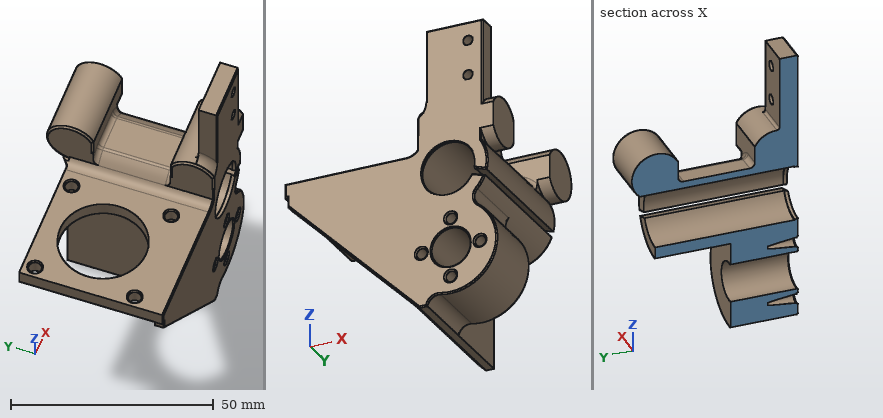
import cadquery as cq
import math


plate_depth = 37.95
plate_top = 42.47
plate_thickness = 3.9
plate_bottom = plate_top - plate_thickness
motor_x = 16.0
motor_y = 21.7
motor_opening_d = 22.6
motor_bolt_spacing = 26.2
motor_bolt_d = 3.3
motor_bolt_chamfer = 0.35

wall_left = 34.75
wall_right = 39.0
panel_left = 0.8
panel_thickness = 2.5
diagonal_sum = 36.8
inner_fillet_r = 0.5

clamp_x = 44.75
clamp_z = 37.0
clamp_r = 10.9
clamp_top = 46.65
clamp_edge_r = 1.5
bearing_seat_r = 7.6
bearing_lip_r = 7.4
bearing_lip_depth = 1.0
slot_width = 1.5
slot_angle = -18.0
outline_fillet_r = 3.0

hub_x = 45.52
hub_z = 14.9
hub_r = 12.75
hub_depth = 17.95
nut_bore_d = 10.6
nut_bore_chamfer = 0.3
nut_bolt_circle_r = 8.05
nut_bolt_r = 1.45
nut_bolt_tip_r = 0.8
nut_bolt_depth = 8.0
nut_bolt_chamfer = 0.4

holder_left = 36.3
holder_right = 57.26
holder_r = 6.58
holder_z = 49.4
holder_top = holder_z + holder_r
front_holder_y = 5.7
overall_depth = 44.15
rear_holder_y = overall_depth - holder_r
holder_flat_offset = 5.8
holder_chamfer = 0.5
valley_fillet_r = 1.35
rear_fillet_r = 2.5
web_right = 53.8
web_bottom = 42.0
web_top = 48.2

tab_left = 38.8
tab_right = 54.25
tab_depth = 4.95
tab_top = 76.24
tab_hole_d = 2.6
tab_hole_x = 50.27
tab_hole_heights = (61.6, 71.15)
tab_fillet_r = tab_left - holder_left
tab_back_fillet_r = 0.7

front_chamfer = 0.35
margin = 5.0
tolerance = 0.01


def box(x0, x1, y0, y1, z0, z1):
    """Box between two corners."""
    return cq.Workplane("XY").box(x1 - x0, y1 - y0, z1 - z0, centered=False).translate((x0, y0, z0))


def extrude_back(outline, y0, y1):
    """Extrude an outline drawn in the XZ plane from y0 to y1."""
    return outline.extrude(-(y1 - y0)).translate((0, y0, 0))


def rod_y(x, z, r, y0, y1):
    """Cylinder along Y."""
    return extrude_back(cq.Workplane("XZ").center(x, z).circle(r), y0, y1)


def rod_x(y, z, r, x0, x1):
    """Cylinder along X."""
    return cq.Workplane("YZ").center(y, z).circle(r).extrude(x1 - x0).translate((x0, 0, 0))


def towards(start, end, distance):
    """Point at a distance from start on the line to end."""
    length = math.dist(start, end)
    return tuple(a + (b - a) * distance / length for a, b in zip(start, end))


def arc_middle(start, end, centre):
    """Middle point of the short arc from start to end around centre."""
    chord_middle = tuple((a + b) / 2 for a, b in zip(start, end))
    return towards(centre, chord_middle, math.dist(centre, start))


clamp_centre = (clamp_x, clamp_z)
hub_centre = (hub_x, hub_z)


def clamp_ring():
    """Solid clamp cylinder with a flat on top, its two long edges rounded."""
    ring = rod_y(clamp_x, clamp_z, clamp_r, 0, plate_depth)
    ring = ring.intersect(
        box(wall_left, clamp_x + clamp_r, 0, plate_depth, clamp_z - clamp_r, clamp_top)
    )
    return ring.faces(">Z").edges("|Y").fillet(clamp_edge_r)


def rod_holder(axis_y, inner_direction):
    """Cylinder along X with a flat inner side and a chamfered left end."""
    flat_y = axis_y + inner_direction * holder_flat_offset
    outer_y = axis_y - inner_direction * 2 * holder_r
    keep = box(
        holder_left, holder_right,
        max(0, min(flat_y, outer_y)), max(flat_y, outer_y),
        holder_z - holder_r, holder_top,
    )
    rod = rod_x(axis_y, holder_z, holder_r, holder_left, holder_right).intersect(keep)
    return rod.faces("<X").edges().chamfer(holder_chamfer)


def in_valley(edge):
    """True for an edge where an inner web face meets the top of the clamp."""
    bounds = edge.BoundingBox()
    on_web_face = bounds.ylen < tolerance and tolerance < bounds.ymin < plate_depth - tolerance
    on_ring = edge.geomType() == "CIRCLE" or abs(bounds.zmin - clamp_top) < tolerance
    return on_web_face and on_ring and bounds.zmin > web_bottom + tolerance


def clamp_with_webs():
    """Clamp ring with the two webs that carry the rod holders, filleted in the valley between."""
    front_face = front_holder_y + holder_flat_offset
    rear_face = rear_holder_y - holder_flat_offset
    body = clamp_ring()
    for y0, y1 in ((0, front_face), (rear_face, plate_depth)):
        body = body.union(box(holder_left, web_right, y0, y1, web_bottom, web_top))
    valley = [edge for edge in body.edges().vals() if in_valley(edge)]
    return body.newObject(valley).fillet(valley_fillet_r)


def plate_fillet_points():
    """Start, middle and end of the fillet that touches the plate top and the clamp ring.

    It meets the ring in the plane of the rod holder ends, which sets its radius.
    """
    offset_x = clamp_x - holder_left
    touch_z = math.sqrt(clamp_r**2 - offset_x**2)
    cosine = touch_z / clamp_r
    radius = (touch_z - (plate_top - clamp_z)) / (1 - cosine)
    centre = (clamp_x - offset_x * (clamp_r + radius) / clamp_r, plate_top + radius)
    start = (centre[0], plate_top)
    end = (holder_left, clamp_z + touch_z)
    return start, arc_middle(start, end, centre), end


def plate_and_wall():
    """L-shaped section of motor plate and wall, merging into the clamp ring."""
    fillet_start, fillet_middle, fillet_end = plate_fillet_points()
    section = (
        cq.Workplane("XZ")
        .moveTo(0, plate_bottom)
        .lineTo(0, plate_top)
        .lineTo(*fillet_start)
        .threePointArc(fillet_middle, fillet_end)
        .lineTo(*clamp_centre)
        .lineTo(wall_right, clamp_z)
        .lineTo(wall_right, 0)
        .lineTo(diagonal_sum, 0)
        .lineTo(wall_left, diagonal_sum - wall_left)
        .lineTo(wall_left, plate_bottom)
        .close()
    )
    return extrude_back(section, 0, plate_depth)


def side_panel():
    """Thin triangular panel closing the front of the plate and wall corner."""
    section = cq.Workplane("XZ").polyline([
        (panel_left, plate_bottom),
        (panel_left, diagonal_sum - panel_left),
        (wall_left, diagonal_sum - wall_left),
        (wall_left, plate_bottom),
    ]).close()
    return extrude_back(section, 0, panel_thickness)


def neck_fillet_centre():
    """Centre of the fillet touching the clamp ring and the hub on the right."""
    gap = math.dist(clamp_centre, hub_centre)
    ring_reach = clamp_r + outline_fillet_r
    hub_reach = hub_r + outline_fillet_r
    along = (gap**2 + ring_reach**2 - hub_reach**2) / (2 * gap)
    across = math.sqrt(ring_reach**2 - along**2)
    unit_x = (hub_x - clamp_x) / gap
    unit_z = (hub_z - clamp_z) / gap
    return (clamp_x + along * unit_x - across * unit_z, clamp_z + along * unit_z + across * unit_x)


def nut_hub():
    """Round hub below the clamp, with the neck and foot blended into it."""
    neck_centre = neck_fillet_centre()
    ring_touch = towards(neck_centre, clamp_centre, outline_fillet_r)
    hub_touch = towards(neck_centre, hub_centre, outline_fillet_r)
    neck_waist = (neck_centre[0] - outline_fillet_r, neck_centre[1])

    foot_x = wall_right + outline_fillet_r
    foot_centre = (foot_x, hub_z - math.sqrt((hub_r + outline_fillet_r)**2 - (foot_x - hub_x)**2))
    foot_start = (foot_x - math.sqrt(outline_fillet_r**2 - foot_centre[1]**2), 0)
    foot_end = towards(foot_centre, hub_centre, outline_fillet_r)
    foot_middle = arc_middle(foot_start, foot_end, foot_centre)

    outline = (
        cq.Workplane("XZ")
        .moveTo(wall_right, clamp_z)
        .lineTo(*clamp_centre)
        .lineTo(*ring_touch)
        .threePointArc(neck_waist, hub_touch)
        .lineTo(*hub_centre)
        .lineTo(*foot_end)
        .threePointArc(foot_middle, foot_start)
        .lineTo(wall_right, 0)
        .close()
    )
    hub = rod_y(hub_x, hub_z, hub_r, 0, hub_depth)
    left_limit = box(wall_left, hub_x + hub_r, 0, hub_depth, 0, clamp_z)
    return extrude_back(outline, 0, hub_depth).union(hub.intersect(left_limit))


def rear_holder_blend():
    """Fillet under the rear rod holder, running out at 45 degrees over the plate end."""
    centre_y = plate_depth + rear_fillet_r
    axis_reach = holder_r + rear_fillet_r
    centre_z = holder_z - math.sqrt(axis_reach**2 - (centre_y - rear_holder_y)**2)
    centre = (centre_y, centre_z)
    touch = towards(centre, (rear_holder_y, holder_z), rear_fillet_r)
    start = (plate_depth, centre_z)
    runout_x = holder_left - (touch[0] - plate_depth)
    section = (
        cq.Workplane("YZ")
        .moveTo(*start)
        .threePointArc(arc_middle(start, touch, centre), touch)
        .lineTo(rear_holder_y, touch[1])
        .lineTo(rear_holder_y, centre_z)
        .close()
    )
    blend = section.extrude(clamp_x - runout_x).translate((runout_x, 0, 0))
    runout = cq.Workplane("XY").polyline([
        (runout_x, plate_depth),
        (holder_left, touch[0]),
        (clamp_x, touch[0]),
        (clamp_x, rear_holder_y),
        (runout_x, rear_holder_y),
    ]).close().extrude(holder_top)
    fillet_start, fillet_middle, fillet_end = plate_fillet_points()
    under_fillet = (
        cq.Workplane("XZ")
        .moveTo(*fillet_start)
        .threePointArc(fillet_middle, fillet_end)
        .lineTo(clamp_x, clamp_z + clamp_r)
        .lineTo(clamp_x, 0)
        .lineTo(fillet_start[0], 0)
        .close()
    )
    return blend.intersect(runout).intersect(extrude_back(under_fillet, 0, plate_depth + margin))


def tab():
    """Upright tab on the front rod holder, filleted onto it at the left and rear."""
    plate = box(tab_left, tab_right, 0, tab_depth, holder_z, tab_top)
    plate = plate.faces("<Y").edges("not <Z").chamfer(front_chamfer)

    start_x = tab_left - tab_fillet_r
    inner_x = tab_left + front_chamfer
    fillet_top = holder_r + tab_fillet_r
    diagonal = tab_fillet_r * math.sqrt(0.5)
    side_fillet = (
        cq.Workplane("XZ", origin=(0, front_holder_y, holder_z))
        .moveTo(start_x, holder_r)
        .threePointArc((start_x + diagonal, fillet_top - diagonal), (tab_left, fillet_top))
        .lineTo(inner_x, fillet_top)
        .lineTo(inner_x, 0)
        .lineTo(start_x, 0)
        .close()
        .revolve(360, (0, 0), (1, 0))
    )
    side_limit = box(start_x + holder_chamfer, inner_x, 0, tab_depth, holder_z, tab_top)

    rear_centre_y = tab_depth + tab_back_fillet_r
    rear_centre_z = holder_top + tab_back_fillet_r
    rear_fillet = box(tab_left, tab_right, tab_depth, rear_centre_y, holder_z, rear_centre_z)
    rear_fillet = rear_fillet.cut(
        rod_x(rear_centre_y, rear_centre_z, tab_back_fillet_r, tab_left, tab_right)
    )
    return plate.union(side_fillet.intersect(side_limit)).union(rear_fillet)


def fillet_wall_corner(body):
    """Round the inner corner where the wall meets the plate and the side panel."""
    below_plate = cq.selectors.BoxSelector(
        (wall_left - tolerance, plate_depth / 2 - panel_thickness, plate_bottom - tolerance),
        (wall_left + tolerance, plate_depth, plate_bottom + tolerance),
    )
    beside_panel = cq.selectors.BoxSelector(
        (wall_left - tolerance, panel_thickness - tolerance, 0),
        (wall_left + tolerance, panel_thickness + tolerance, plate_bottom),
    )
    return body.edges(below_plate + beside_panel).fillet(inner_fillet_r)


def cut_slot(body):
    """Cut the clamping slot from the bearing axis outwards to the right."""
    slot = box(0, clamp_r + margin, -margin, plate_depth + margin, -slot_width / 2, slot_width / 2)
    slot = slot.rotate((0, 0, 0), (0, 1, 0), -slot_angle).translate((clamp_x, 0, clamp_z))
    return body.cut(slot)


def chamfer_front(body):
    """Chamfer the whole outline of the front face."""
    return body.faces("<Y").edges().chamfer(front_chamfer)


def cut_bearing_seat(body):
    """Bore the bearing seat, leaving a narrower lip at the front."""
    body = body.cut(rod_y(clamp_x, clamp_z, bearing_lip_r, -margin, plate_depth + margin))
    return body.cut(
        rod_y(clamp_x, clamp_z, bearing_seat_r, bearing_lip_depth, plate_depth + margin)
    )


def turned_cutter(profile):
    """Round cutting body about Y from (radius, depth) pairs, entering the front face."""
    points = [(0, profile[0][1]), *profile, (0, profile[-1][1])]
    return cq.Workplane("XY").polyline(points).close().revolve(360, (0, 0), (0, 1))


def cut_nut_holes(body):
    """Bore the lead screw nut opening and its four blind tapered screw holes."""
    bore_r = nut_bore_d / 2
    bore = turned_cutter([
        (bore_r + nut_bore_chamfer, 0),
        (bore_r, nut_bore_chamfer),
        (bore_r, hub_depth + margin),
    ])
    body = body.cut(bore.translate((hub_x, 0, hub_z)))
    screw = turned_cutter([
        (nut_bolt_r + nut_bolt_chamfer, 0),
        (nut_bolt_r, nut_bolt_chamfer),
        (nut_bolt_tip_r, nut_bolt_depth),
    ])
    for dx, dz in ((1, 0), (0, 1), (-1, 0), (0, -1)):
        place = (hub_x + dx * nut_bolt_circle_r, 0, hub_z + dz * nut_bolt_circle_r)
        body = body.cut(screw.translate(place))
    return body


def cut_motor_holes(body):
    """Cut the round motor opening and the four chamfered screw holes around it."""
    top = cq.Workplane("XY", origin=(motor_x, motor_y, plate_top))
    opening = top.circle(motor_opening_d / 2).extrude(-plate_thickness)
    bolt_r = motor_bolt_d / 2
    screw = (
        cq.Workplane("XZ")
        .polyline([
            (0, 0),
            (bolt_r + motor_bolt_chamfer, 0),
            (bolt_r, -motor_bolt_chamfer),
            (bolt_r, -plate_thickness),
            (0, -plate_thickness),
        ])
        .close()
        .revolve(360, (0, 0), (0, 1))
    )
    body = body.cut(opening)
    half = motor_bolt_spacing / 2
    for dx in (-half, half):
        for dy in (-half, half):
            body = body.cut(screw.translate((motor_x + dx, motor_y + dy, plate_top)))
    return body


def cut_tab_holes(body):
    """Drill the two holes through the tab."""
    for height in tab_hole_heights:
        body = body.cut(rod_y(tab_hole_x, height, tab_hole_d / 2, -margin, tab_depth + margin))
    return body


frame = clamp_with_webs().union(plate_and_wall()).union(side_panel()).union(nut_hub())
frame = chamfer_front(cut_slot(fillet_wall_corner(frame)))
for addition in (
    rod_holder(front_holder_y, 1),
    rod_holder(rear_holder_y, -1),
    rear_holder_blend(),
    tab(),
):
    frame = frame.union(addition)

result = cut_tab_holes(cut_motor_holes(cut_nut_holes(cut_bearing_seat(frame))))